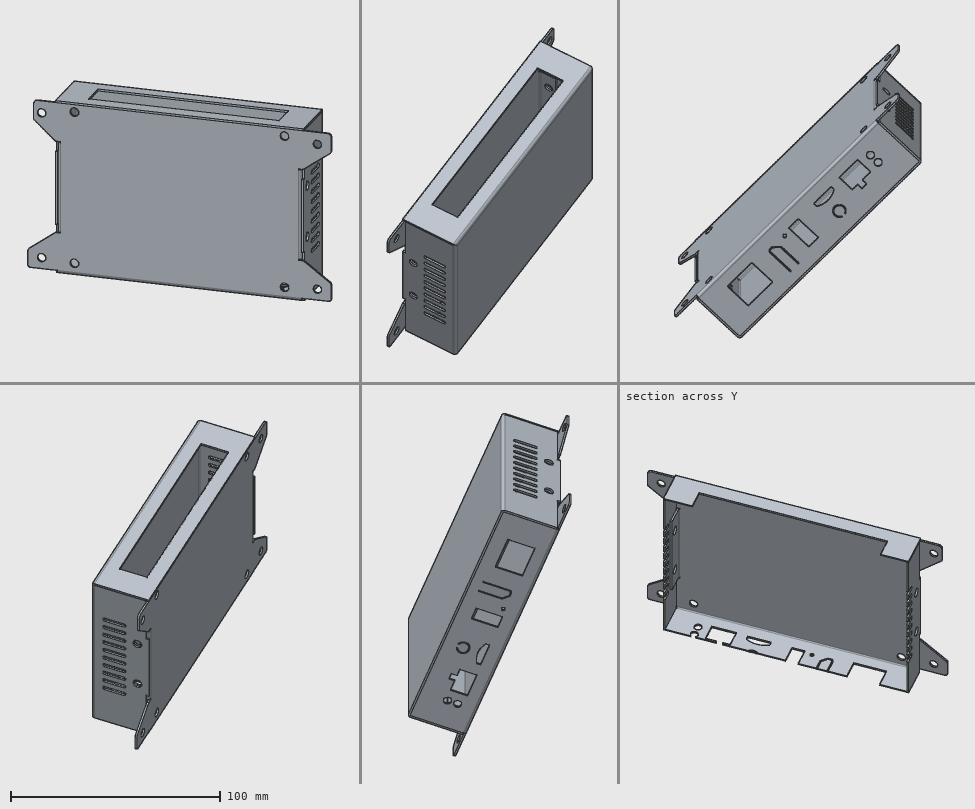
import cadquery as cq
import math

SHEET = 1.0
BEND_INSIDE = 0.54
BEND_OUTSIDE = BEND_INSIDE + SHEET

WIDTH = 125.0
DEPTH = 30.0
HEIGHT = 88.0
INNER_X = WIDTH / 2 - SHEET
TOP_Z = HEIGHT / 2
BOTTOM_Z = -HEIGHT / 2
UNDER_TOP_Z = TOP_Z - SHEET
BACK_Y = DEPTH - SHEET
REACH = 306.0

SEAM_GAP = 0.1
WING_RELIEF_HEIGHT = 25.0
WING_RELIEF_DEPTH = BEND_OUTSIDE

WINDOW_LEFT_X = -48.2
WINDOW_RIGHT_X = 47.7
WINDOW_FRONT_Y = 7.3
WINDOW_BACK_Y = 21.7

VENT_COUNT = 10
VENT_SPAN = 44.8
VENT_LENGTH = 12.0
VENT_WIDTH = 2.0
VENT_Y = 18.0

SIDE_SCREW_DIAMETER = 4.5
SIDE_SCREW_Y = 6.0
SIDE_SCREW_Z = 13.0

FLANGE_DEPTH = 10.0
FLANGE_HALF_HEIGHT = 22.8
BEND_RELIEF = 0.5
WING_ROOT_Z = FLANGE_HALF_HEIGHT + BEND_RELIEF

WING_TIP_X = 76.5
SHORT_WING_TIP_X = 73.6
WING_TIP_Z = 33.4
WING_CORNER_RADIUS = 2.0
WING_BOTTOM_RADIUS = 1.4
MOUNT_HOLE_DIAMETER = 4.1
MOUNT_HOLE_X = 69.5
MOUNT_HOLE_Z = 36.9

PLATE_HOLE_DIAMETER = 4.3
PLATE_HOLE_X = 53.0
PLATE_HOLE_TOP_Z = 39.2
PLATE_HOLE_BOTTOM_Z = -37.8

PORT_BACK_Y = 21.3
PORT_FRONT_Y = 7.8
WIDE_PORT_LEFT_X = -47.7
WIDE_PORT_RIGHT_X = -31.0
NARROW_PORT_LEFT_X = -6.3
NARROW_PORT_RIGHT_X = 0.23
PINHOLE_DIAMETER = 1.8
PINHOLE_X = -10.4
PINHOLE_Y = 9.2

DOME_X = 16.8
DOME_HALF_WIDTH = 6.0
DOME_SHOULDER_Y = 9.8
DOME_CROWN_Y = 11.5

KEYED_LEFT_X = 28.8
KEYED_RIGHT_X = 41.3
KEYED_BACK_Y = 16.0
KEY_LEFT_X = 32.5
KEY_RIGHT_X = 35.6
KEY_BACK_Y = 19.0

JACK_DIAMETER = 3.8
JACK_X = 47.3
JACK_CENTERS_Y = (10.1, 15.3)

SLIT = 0.5
TONGUE_LEFT_X = -21.4
TONGUE_RIGHT_X = -15.5
TONGUE_FRONT_Y = 8.7
TONGUE_BACK_Y = 23.7
TONGUE_RADIUS = 1.4
TONGUE_CHAMFER = 2.9
BUTTON_X = DOME_X
BUTTON_Y = 19.1
BUTTON_RADIUS = 3.2
BUTTON_NECK = 2.1


def block(x_range, y_range, z_range):
    """Box between two limits on each axis."""
    (x0, x1), (y0, y1), (z0, z1) = x_range, y_range, z_range
    return cq.Workplane("XY").box(x1 - x0, y1 - y0, z1 - z0, centered=False).translate((x0, y0, z0))


def along_y(points, diameter):
    """Round cutters through the cover plate at (x, z) points."""
    plane = cq.Workplane("XZ").workplane(offset=-DEPTH / 2)
    return plane.pushPoints(points).circle(diameter / 2).extrude(DEPTH)


def side_screw_holes():
    """Round cutters along X through both side walls and both flanges."""
    points = [(SIDE_SCREW_Y, sign * SIDE_SCREW_Z) for sign in (-1, 1)]
    plane = cq.Workplane("YZ")
    return plane.pushPoints(points).circle(SIDE_SCREW_DIAMETER / 2).extrude(REACH / 2, both=True)


def vents():
    """Column of level slots along X through both side walls."""
    pitch = VENT_SPAN / (VENT_COUNT - 1)
    points = [(VENT_Y, i * pitch - VENT_SPAN / 2) for i in range(VENT_COUNT)]
    plane = cq.Workplane("YZ")
    return plane.pushPoints(points).slot2D(VENT_LENGTH, VENT_WIDTH).extrude(REACH / 2, both=True)



def housing_shell():
    """Back, top and side walls with folded back edges, open to the front and the bottom."""
    half = WIDTH / 2
    outside = block((-half, half), (0, DEPTH), (BOTTOM_Z, TOP_Z))
    outside = outside.faces(">Y").edges("|Z or >Z").fillet(BEND_OUTSIDE)
    inside = block((-INNER_X, INNER_X), (-DEPTH, BACK_Y), (BOTTOM_Z - HEIGHT, UNDER_TOP_Z))
    inside = inside.faces(">Y").edges("|Z or >Z").fillet(BEND_INSIDE)
    return outside.cut(inside)


def side_cut(sign, y_range, z_range):
    """Cutter through one side wall only."""
    return block(sorted((sign * INNER_X, sign * REACH)), y_range, z_range)


def build_housing():
    body = housing_shell()
    relief_y = (-DEPTH, WING_RELIEF_DEPTH)
    for sign in (-1, 1):
        seam = side_cut(sign, (0, DEPTH - BEND_OUTSIDE), (UNDER_TOP_Z - SEAM_GAP, UNDER_TOP_Z))
        upper = side_cut(sign, relief_y, (UNDER_TOP_Z - WING_RELIEF_HEIGHT, UNDER_TOP_Z))
        lower = side_cut(sign, relief_y, (BOTTOM_Z - SHEET, BOTTOM_Z + WING_RELIEF_HEIGHT))
        body = body.cut(seam).cut(upper).cut(lower)
    window = block(
        (WINDOW_LEFT_X, WINDOW_RIGHT_X),
        (WINDOW_FRONT_Y, WINDOW_BACK_Y),
        (UNDER_TOP_Z - SHEET, TOP_Z + SHEET),
    )
    return body.cut(window).cut(vents()).cut(side_screw_holes())



def plate_and_bottom():
    """Front plate folded back into the bottom wall, relieved at the sides for the flanges."""
    outside = block((-INNER_X, INNER_X), (0, BACK_Y), (BOTTOM_Z, UNDER_TOP_Z))
    outside = outside.faces("<Y").edges("<Z").fillet(BEND_OUTSIDE)
    outside = outside.faces(">Y").edges("|Z").fillet(BEND_INSIDE)
    inside = block((-REACH, REACH), (SHEET, REACH), (BOTTOM_Z + SHEET, REACH))
    inside = inside.faces("<Y").edges("<Z").fillet(BEND_INSIDE)
    body = outside.cut(inside)
    for sign in (-1, 1):
        x_range = sorted((sign * (INNER_X - BEND_OUTSIDE), sign * REACH))
        body = body.cut(block(x_range, (-SHEET, DEPTH), (-WING_ROOT_Z, WING_ROOT_Z)))
    return body


def flanges():
    """Strip of the front plate folded back at both ends into the side flanges."""
    z_range = (-FLANGE_HALF_HEIGHT, FLANGE_HALF_HEIGHT)
    outside = block((-INNER_X, INNER_X), (0, FLANGE_DEPTH), z_range)
    outside = outside.faces("<Y").edges("|Z").fillet(BEND_OUTSIDE)
    inner_half = INNER_X - SHEET
    inside = block((-inner_half, inner_half), (SHEET, DEPTH), z_range)
    inside = inside.faces("<Y").edges("|Z").fillet(BEND_INSIDE)
    return outside.cut(inside)


def wing(x_sign, z_sign, tip_x, edge_z):
    """Tapered mounting wing from the flange relief out to its tip."""
    root_x = INNER_X - BEND_OUTSIDE
    outline = [
        (root_x, WING_ROOT_Z),
        (WIDTH / 2, WING_ROOT_Z),
        (tip_x, WING_TIP_Z),
        (tip_x, edge_z),
        (root_x, edge_z),
    ]
    points = [(x_sign * x, z_sign * z) for x, z in outline]
    return cq.Workplane("XZ").polyline(points).close().extrude(-SHEET)


def wings():
    """Four wings: the upper left one is shorter and keeps its lower tip corner sharp."""
    short = wing(-1, 1, SHORT_WING_TIP_X, UNDER_TOP_Z)
    short = short.edges("|Y").edges("<X").edges(">Z").fillet(WING_CORNER_RADIUS)
    upper = wing(1, 1, WING_TIP_X, UNDER_TOP_Z)
    parts = [short, upper.edges("|Y").edges(">X").fillet(WING_CORNER_RADIUS)]
    for x_sign, tip in ((-1, "<X"), (1, ">X")):
        lower = wing(x_sign, -1, WING_TIP_X, -(BOTTOM_Z + BEND_OUTSIDE))
        lower = lower.edges("|Y").edges(tip).edges(">Z").fillet(WING_CORNER_RADIUS)
        parts.append(lower.edges("|Y").edges("<Z").edges(tip).fillet(WING_BOTTOM_RADIUS))
    return parts


def bottom_sketch():
    """Work plane just below the bottom wall, with X and Y as in the part."""
    return cq.Workplane("XY").workplane(offset=BOTTOM_Z - SHEET)


def bottom_cutter(sketch):
    """Cutter through the bottom wall from an outline below it."""
    return sketch.extrude(3 * SHEET)


def rectangular_port(left_x, right_x, front_y):
    middle_x = (left_x + right_x) / 2
    middle_y = (front_y + PORT_BACK_Y) / 2
    sketch = bottom_sketch().center(middle_x, middle_y)
    return bottom_cutter(sketch.rect(right_x - left_x, PORT_BACK_Y - front_y))


def dome_port():
    left_x = DOME_X - DOME_HALF_WIDTH
    right_x = DOME_X + DOME_HALF_WIDTH
    sketch = bottom_sketch().moveTo(left_x, PORT_FRONT_Y).lineTo(left_x, DOME_SHOULDER_Y)
    sketch = sketch.threePointArc((DOME_X, DOME_CROWN_Y), (right_x, DOME_SHOULDER_Y))
    return bottom_cutter(sketch.lineTo(right_x, PORT_FRONT_Y).close())


def keyed_port():
    points = [
        (KEYED_LEFT_X, WINDOW_FRONT_Y),
        (KEYED_LEFT_X, KEYED_BACK_Y),
        (KEY_LEFT_X, KEYED_BACK_Y),
        (KEY_LEFT_X, KEY_BACK_Y),
        (KEY_RIGHT_X, KEY_BACK_Y),
        (KEY_RIGHT_X, KEYED_BACK_Y),
        (KEYED_RIGHT_X, KEYED_BACK_Y),
        (KEYED_RIGHT_X, WINDOW_FRONT_Y),
    ]
    return bottom_cutter(bottom_sketch().polyline(points).close())


def round_ports():
    jacks = [(JACK_X, y) for y in JACK_CENTERS_Y]
    jack_cutter = bottom_cutter(bottom_sketch().pushPoints(jacks).circle(JACK_DIAMETER / 2))
    pinhole = bottom_cutter(bottom_sketch().center(PINHOLE_X, PINHOLE_Y).circle(PINHOLE_DIAMETER / 2))
    return [jack_cutter, pinhole]


def tongue_outline(inset):
    """Tongue prism with one round and one chamfered front corner, inset on all but the back."""
    x_range = (TONGUE_LEFT_X + inset, TONGUE_RIGHT_X - inset)
    z_range = (BOTTOM_Z - SHEET, BOTTOM_Z + 2 * SHEET)
    prism = block(x_range, (TONGUE_FRONT_Y + inset, TONGUE_BACK_Y), z_range)
    prism = prism.edges("|Z").edges("<X and <Y").fillet(TONGUE_RADIUS - inset)
    chamfer = TONGUE_CHAMFER - inset * (2 - math.sqrt(2))
    return prism.edges("|Z").edges(">X and <Y").chamfer(chamfer)


def tongue_slit():
    """U-shaped slit that leaves the tongue joined at its back end."""
    return tongue_outline(0).cut(tongue_outline(SLIT))


def button_slit():
    """Ring slit, broken at its back by the neck that holds the button."""
    sketch = bottom_sketch().center(BUTTON_X, BUTTON_Y)
    ring = bottom_cutter(sketch.circle(BUTTON_RADIUS).circle(BUTTON_RADIUS - SLIT))
    half_neck = BUTTON_NECK / 2
    neck = block(
        (BUTTON_X - half_neck, BUTTON_X + half_neck),
        (BUTTON_Y, BUTTON_Y + 2 * BUTTON_RADIUS),
        (BOTTOM_Z - HEIGHT, TOP_Z),
    )
    return ring.cut(neck)


def build_cover():
    body = plate_and_bottom().union(flanges())
    for part in wings():
        body = body.union(part)

    mount_holes = [(x * MOUNT_HOLE_X, z * MOUNT_HOLE_Z) for x in (-1, 1) for z in (-1, 1)]
    plate_holes = [(x * PLATE_HOLE_X, z) for x in (-1, 1) for z in (PLATE_HOLE_BOTTOM_Z, PLATE_HOLE_TOP_Z)]
    cutters = [
        along_y(mount_holes, MOUNT_HOLE_DIAMETER),
        along_y(plate_holes, PLATE_HOLE_DIAMETER),
        side_screw_holes(),
        rectangular_port(WIDE_PORT_LEFT_X, WIDE_PORT_RIGHT_X, WINDOW_FRONT_Y),
        rectangular_port(NARROW_PORT_LEFT_X, NARROW_PORT_RIGHT_X, PORT_FRONT_Y),
        dome_port(),
        keyed_port(),
        tongue_slit(),
        button_slit(),
        *round_ports(),
    ]
    for cutter in cutters:
        body = body.cut(cutter)
    return body


housing = build_housing()
cover = build_cover()
result = cq.Compound.makeCompound([housing.solids().val(), cover.solids().val()])